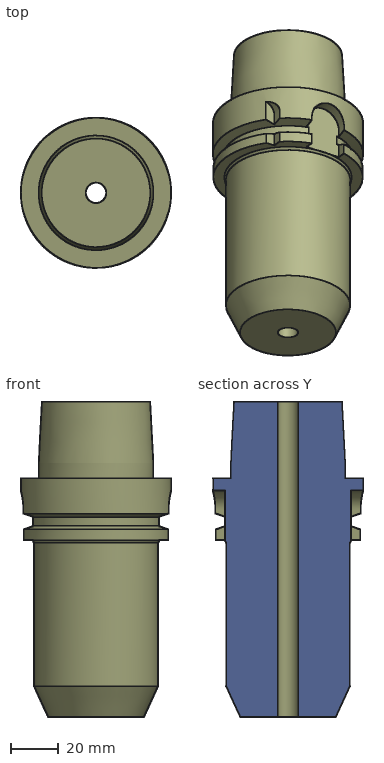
import cadquery as cq

length = 132.0
bore_radius = 4.2

nose_radius = 20.0
nose_height = 13.0
body_radius = 26.0

flange_diameter = 63.0
flange_radius = flange_diameter / 2
flange_bottom = 74.0
flange_top = 99.9
relief_depth = 1.2
relief_radius = 26.7
groove_radius = 27.3
groove_bottom = 80.0
groove_height = 3.7
bevel_height = 1.5
groove_top = groove_bottom + groove_height
lower_rim_radius = 31.3

shank_radius = 24.0
shank_collar_top = 106.4
shank_top_radius = 22.7

slot_half_width = 8.0
slot_floor_x = 26.4
slot_top = 94.8

notch_offset = 20.0
notch_top = 93.9
notch_round = 5.4


def revolved_body():
    """Turned profile, given as radius and height."""
    profile = [
        (bore_radius, 0),
        (nose_radius, 0),
        (body_radius, nose_height),
        (body_radius, flange_bottom - relief_depth),
        (relief_radius, flange_bottom),
        (lower_rim_radius, flange_bottom),
        (lower_rim_radius, groove_bottom - bevel_height),
        (groove_radius, groove_bottom),
        (groove_radius, groove_top),
        (flange_radius, groove_top + bevel_height),
        (flange_radius, flange_top),
        (shank_radius, flange_top),
        (shank_radius, shank_collar_top),
        (shank_top_radius, length),
        (bore_radius, length),
    ]
    return cq.Workplane("XZ").polyline(profile).close().revolve(360, (0, 0), (0, 1))


def drive_slot(side):
    """Round-topped cutter with a flat floor; side is +1 or -1 along X."""
    arc_center = slot_top - slot_half_width
    outline = (
        cq.Workplane("YZ", origin=(side * slot_floor_x, 0, 0))
        .moveTo(-slot_half_width, flange_bottom)
        .lineTo(-slot_half_width, arc_center)
        .threePointArc((0, slot_top), (slot_half_width, arc_center))
        .lineTo(slot_half_width, flange_bottom)
        .close()
    )
    return outline.extrude(side * flange_radius)


def orientation_notch():
    """Square-cornered cutter, rounded over at the top of its -X floor."""
    height = notch_top - flange_bottom
    block = cq.Workplane("XY").box(flange_radius, flange_radius, height, centered=False)
    block = block.edges("|X and >Z and <Y").fillet(notch_round)
    return block.translate((-notch_offset - flange_radius, notch_offset, flange_bottom))


result = revolved_body()
for side in (-1, 1):
    result = result.cut(drive_slot(side))
result = result.cut(orientation_notch())